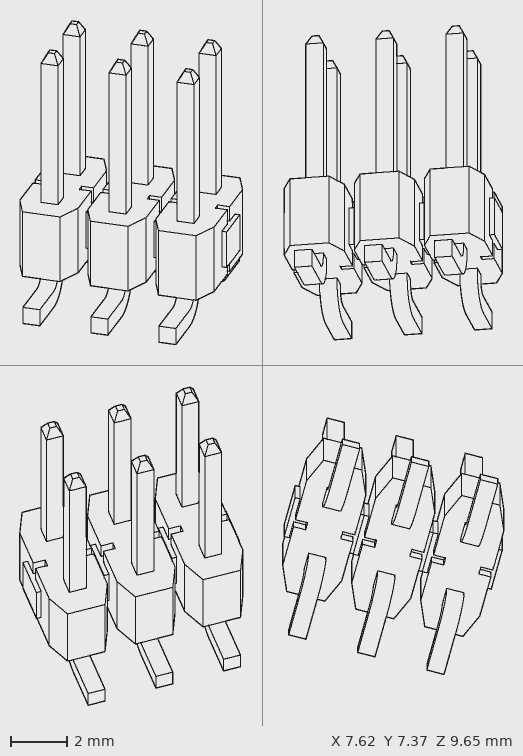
import cadquery as cq

module_count = 3
overall_x = 7.62
overall_y = 7.37
overall_z = 9.65
pitch = overall_x / module_count

block_width = 2.18
block_length = 2 * pitch
block_height = pitch
block_bottom = 1.28
end_face_width = 1.41
side_face_length = 3.28

slot_width = 0.27
slot_depth = 0.44

bar_length = pitch
bar_width = 1.51
bar_height = 1.4
bar_center_z = block_bottom + block_height / 2

pin_size = 0.64
pin_row_y = pitch / 2
tip_size = 0.25
tip_height = 0.37
bend_inner_radius = 0.5
bend_outer_radius = bend_inner_radius + pin_size


def make_block():
    """Octagonal insulator block centred on the origin in X and Y, standing above the solder tails."""
    half_width = block_width / 2
    half_length = block_length / 2
    half_end = end_face_width / 2
    half_side = side_face_length / 2
    outline = [
        (-half_end, -half_length),
        (half_end, -half_length),
        (half_width, -half_side),
        (half_width, half_side),
        (half_end, half_length),
        (-half_end, half_length),
        (-half_width, half_side),
        (-half_width, -half_side),
    ]
    return cq.Workplane("XY", origin=(0, 0, block_bottom)).polyline(outline).close().extrude(block_height)


def make_side_slots():
    """Cutters for the slots that run the full height of both side faces."""
    slot_centers = [(-block_width / 2, 0), (block_width / 2, 0)]
    return (
        cq.Workplane("XY", origin=(0, 0, block_bottom))
        .pushPoints(slot_centers)
        .rect(2 * slot_depth, slot_width)
        .extrude(block_height)
    )


def make_coupling_bar():
    """Bar through the block that projects from both side faces by half the gap between modules."""
    return cq.Workplane("XY", origin=(0, 0, bar_center_z)).box(bar_length, bar_width, bar_height)


def make_pin():
    """Pin of the +Y row: pointed at the top, its solder tail bent outward toward +Y."""
    inner_y = pin_row_y - pin_size / 2
    outer_y = pin_row_y + pin_size / 2
    tail_end_y = overall_y / 2
    shoulder_z = overall_z - tip_height
    bend_center = (outer_y + bend_inner_radius, bend_outer_radius)
    shank = (
        cq.Workplane("YZ")
        .moveTo(inner_y, shoulder_z)
        .lineTo(inner_y, bend_center[1])
        .radiusArc((bend_center[0], 0), -bend_outer_radius)
        .lineTo(tail_end_y, 0)
        .lineTo(tail_end_y, pin_size)
        .lineTo(bend_center[0], pin_size)
        .radiusArc((outer_y, bend_center[1]), bend_inner_radius)
        .lineTo(outer_y, shoulder_z)
        .close()
        .extrude(pin_size / 2, both=True)
    )
    tip = (
        cq.Workplane("XY", origin=(0, pin_row_y, shoulder_z))
        .rect(pin_size, pin_size)
        .workplane(offset=tip_height)
        .rect(tip_size, tip_size)
        .loft(ruled=True)
    )
    return shank.union(tip)


def make_module(center_x):
    """One header module: slotted block, coupling bar and two opposed pins as a single solid."""
    pin = make_pin()
    opposite_pin = pin.mirror("XZ")
    module = make_block().cut(make_side_slots()).union(make_coupling_bar())
    module = module.union(pin).union(opposite_pin)
    return module.translate((center_x, 0, 0))


first_center_x = -pitch * (module_count - 1) / 2
modules = [make_module(first_center_x + index * pitch) for index in range(module_count)]

result = cq.Compound.makeCompound([module.val() for module in modules])